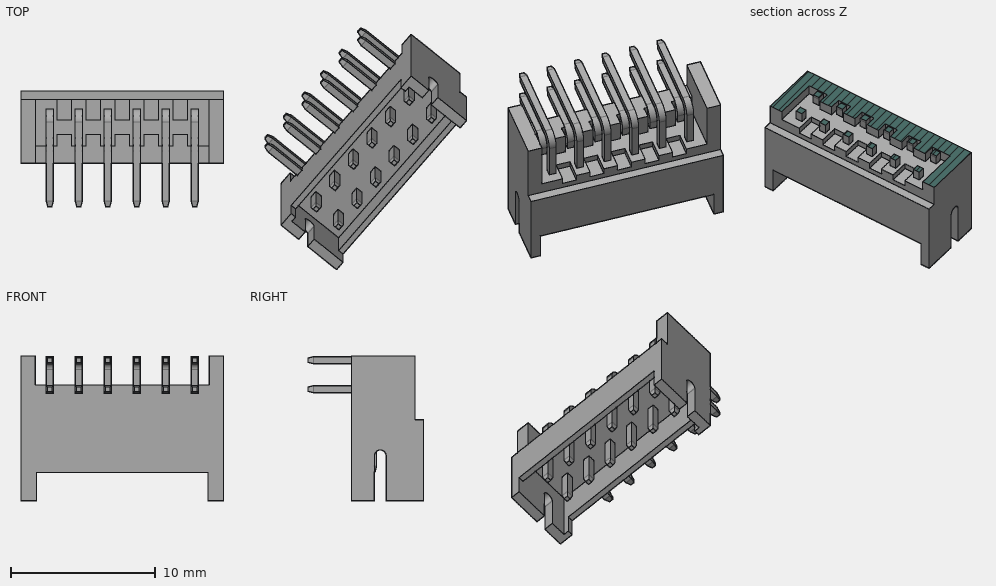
import cadquery as cq


width = 14.0
depth = 5.0
height = 10.0
body_height = 8.0
end_wall = 1.0
ledge_height = 5.6
ledge_step = 0.6
leg_width = 1.1
leg_height = 1.95

shroud_wall = 0.4
cavity_end_wall = 0.7
cavity_depth = 5.0

slot_width = 0.8
slot_height = 3.5
slot_y = 2.0

rows = 2
pins_per_row = 6
pitch = 2.0
pin_size = 0.5
pin_tip_size = 0.3
pin_taper = 0.4
bend_inner_radius = 0.4
pin_reach = 3.0
pin_end_z = 2.0
row_spacing = 2.0
lower_row_y = 1.5
lower_row_z = 7.7

recess_width = width - 2 * end_wall
recess_front = 1.18
recess_floor = 6.45
tooth_width = 1.0
tooth_end = 2.0
notch_start = 3.0
notch_floor = 6.0
groove_floor = 7.4

upper_depth = depth - ledge_step
pin_xs = [(i - (pins_per_row - 1) / 2) * pitch for i in range(pins_per_row)]
tooth_xs = [x + pitch / 2 for x in pin_xs[:-1]]


def block(x_size, y_min, y_max, z_min, z_max, x=0.0):
    """Box centred on x, spanning the given Y and Z ranges."""
    box = cq.Workplane("XY").box(x_size, y_max - y_min, z_max - z_min, centered=(True, False, False))
    return box.translate((x, y_min, z_min))


def make_housing():
    """Stepped housing with end walls above the body."""
    shell = block(width, 0, depth, 0, ledge_height)
    shell = shell.union(block(width, 0, upper_depth, ledge_height, height))
    return shell.cut(block(recess_width, 0, upper_depth, body_height, height))


def make_cavity():
    """Volume removed from the mating end: the cavity and the mouth cutouts in its front and rear walls."""
    cavity_width = width - 2 * cavity_end_wall
    cavity_rear = depth - shroud_wall
    cavity = block(cavity_width, shroud_wall, cavity_rear, 0, cavity_depth)
    cavity = cavity.union(block(width - 2 * leg_width, 0, shroud_wall, 0, leg_height))
    return cavity.union(block(cavity_width, cavity_rear, depth, 0, leg_height))


def make_keying_slots():
    """Round-topped slot volume running through both end walls."""
    radius = slot_width / 2
    return (
        cq.Workplane("YZ")
        .moveTo(slot_y - radius, 0)
        .lineTo(slot_y - radius, slot_height - radius)
        .threePointArc((slot_y, slot_height), (slot_y + radius, slot_height - radius))
        .lineTo(slot_y + radius, 0)
        .close()
        .extrude(width / 2, both=True)
    )


def make_recess():
    """Volume removed from the body top: pocket less the teeth, plus rear notches and tail grooves."""
    recess = block(recess_width, recess_front, upper_depth, recess_floor, body_height)
    for x in tooth_xs:
        recess = recess.cut(block(tooth_width, recess_front, tooth_end, recess_floor, body_height, x))
        recess = recess.union(block(tooth_width, notch_start, upper_depth, notch_floor, recess_floor, x))
    for x in pin_xs:
        recess = recess.union(block(pin_size, 0, recess_front, groove_floor, body_height, x))
    return recess


def make_tip(plane):
    """Tapered pin end that narrows along the normal of the given plane."""
    base = cq.Workplane(plane).rect(pin_size, pin_size)
    return base.workplane(offset=pin_taper).rect(pin_tip_size, pin_tip_size).loft(ruled=True)


def make_pin(x, leg_y, tail_z):
    """Square pin bent through a right angle, tapered at both ends."""
    bend_radius = bend_inner_radius + pin_size / 2
    leg_end = pin_end_z + pin_taper
    tail_end = pin_taper - pin_reach
    path = (
        cq.Workplane("YZ", origin=(x, 0, 0))
        .moveTo(leg_y, leg_end)
        .lineTo(leg_y, tail_z - bend_radius)
        .tangentArcPoint((leg_y - bend_radius, tail_z), relative=False)
        .lineTo(tail_end, tail_z)
    )
    bar = cq.Workplane("XY", origin=(x, leg_y, leg_end)).rect(pin_size, pin_size).sweep(path)
    leg_tip = make_tip(cq.Plane((x, leg_y, leg_end), (1, 0, 0), (0, 0, -1)))
    tail_tip = make_tip(cq.Plane((x, tail_end, tail_z), (1, 0, 0), (0, -1, 0)))
    return bar.union(leg_tip).union(tail_tip)


result = make_housing().cut(make_cavity()).cut(make_keying_slots()).cut(make_recess())
for pin_x in pin_xs:
    for row in range(rows):
        offset = row * row_spacing
        result = result.union(make_pin(pin_x, lower_row_y + offset, lower_row_z + offset))